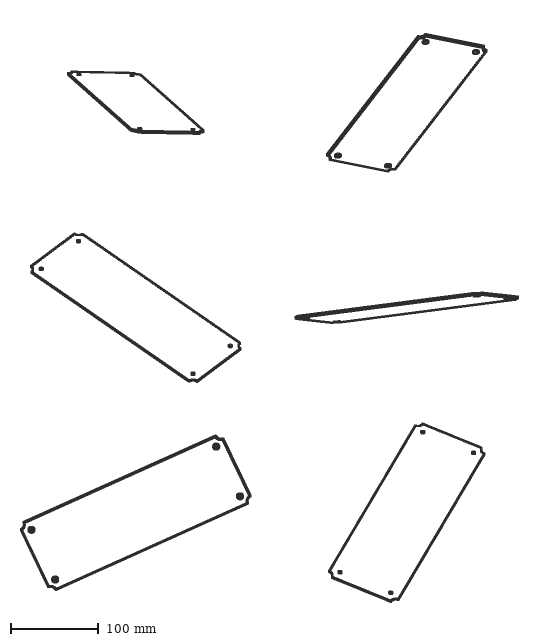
import cadquery as cq
length = 255.2
width = 86.8
thickness = 2.5
tilt_angle = 6.0

bevel = 0.9

scallop_radius = 6.5

hole_diameter = 3.3
countersink_diameter = 7.0
countersink_angle = 90.0
hole_spacing_x = 233.3
hole_spacing_y = 63.8


def rectangle_corners(workplane, size_x, size_y):
    """Select the four corners of a centred rectangle."""
    return workplane.rect(size_x, size_y, forConstruction=True).vertices()


def scalloped_plate():
    plate = cq.Workplane("XY").box(length, width, thickness)
    corners = rectangle_corners(plate.faces(">Z").workplane(), length, width)
    return corners.circle(scallop_radius).cutThruAll()


def bevel_underside(plate):
    return plate.faces("<Z").edges().chamfer(bevel)


def cut_screw_holes(plate):
    centres = rectangle_corners(plate.faces("<Z").workplane(), hole_spacing_x, hole_spacing_y)
    return centres.cskHole(hole_diameter, countersink_diameter, countersink_angle)


plate = scalloped_plate()
plate = bevel_underside(plate)
plate = cut_screw_holes(plate)
result = plate.rotate((0, 0, 0), (1, 0, 0), -tilt_angle)